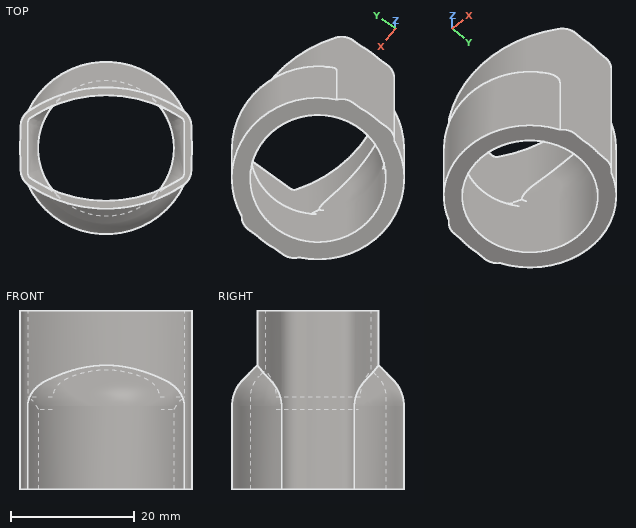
import cadquery as cq
import math

height = 29.0
side_wall = 1.3
end_wall = 1.2
sleeve_half_width = 13.88
sleeve_half_depth = 9.85
side_arc_radius = 22.4
sleeve_corner_radius = 3.0

cavity_half_width = sleeve_half_width - end_wall
cavity_half_depth = sleeve_half_depth - side_wall
cavity_corner_radius = 1.0

roof_angle = math.radians(45)
body_radius = 14.0
body_corner_height = 16.0
body_shoulder_radius = 6.0

bore_radius = 11.0
bore_corner_height = 17.0
bore_shoulder_radius = 4.7

roof_end_radius = 5.0

ledge_bottom = 13.0
ledge_top = 15.0
funnel_start = 11.5
funnel_start_radius = 10.5


def oval_prism(half_width, half_depth, arc_radius, corner_radius, bottom, top):
    """Vertical prism with arcs toward +Y and -Y, flat ends toward +X and -X, and rounded corners."""
    end_half_depth = half_depth - arc_radius + math.sqrt(arc_radius**2 - half_width**2)
    return (
        cq.Workplane("XY")
        .workplane(offset=bottom)
        .moveTo(half_width, -end_half_depth)
        .lineTo(half_width, end_half_depth)
        .threePointArc((0, half_depth), (-half_width, end_half_depth))
        .lineTo(-half_width, -end_half_depth)
        .threePointArc((0, -half_depth), (half_width, -end_half_depth))
        .close()
        .extrude(top - bottom)
        .edges("|Z")
        .fillet(corner_radius)
    )


def cavity_prism(bottom, top):
    return oval_prism(
        cavity_half_width, cavity_half_depth, side_arc_radius, cavity_corner_radius, bottom, top
    )


def roofed_cylinder(radius, corner_height, shoulder_radius):
    """Cylinder on Z = 0 under a cut-off cone; the shoulder arc is tangent to both."""
    shoulder_bottom = corner_height - shoulder_radius * math.tan(roof_angle / 2)
    shoulder_center = radius - shoulder_radius
    roof_end_height = corner_height + (radius - roof_end_radius) * math.tan(roof_angle)

    def shoulder_point(angle):
        return (
            shoulder_center + shoulder_radius * math.cos(angle),
            shoulder_bottom + shoulder_radius * math.sin(angle),
        )

    return (
        cq.Workplane("XZ")
        .lineTo(radius, 0)
        .lineTo(radius, shoulder_bottom)
        .threePointArc(shoulder_point(roof_angle / 2), shoulder_point(roof_angle))
        .lineTo(roof_end_radius, roof_end_height)
        .lineTo(0, roof_end_height)
        .close()
        .revolve(360, (0, 0, 0), (0, 1, 0))
    )


def end_bulges():
    """Shallow full-height bulges where the body cylinder stands proud of the flat sleeve ends."""
    bulge_width = 2 * math.sqrt(body_radius**2 - sleeve_half_width**2)
    strip = cq.Workplane("XY").rect(2 * body_radius, bulge_width).extrude(height)
    return cq.Workplane("XY").circle(body_radius).extrude(height).intersect(strip)


def ledge_cut():
    """Smooth funnel that leaves the bore steeply and flares out to the oval cavity section."""
    up = cq.Vector(0, 0, 1)
    start_circle = cq.Wire.makeCircle(funnel_start_radius, up * funnel_start, up)
    bore_circle = cq.Wire.makeCircle(bore_radius, up * ledge_bottom, up)
    cavity_outline = cavity_prism(ledge_top, height).faces("<Z").wires().val()
    return cq.Workplane(cq.Solid.makeLoft([start_circle, bore_circle, cavity_outline], ruled=False))


outside = (
    oval_prism(
        sleeve_half_width, sleeve_half_depth, side_arc_radius, sleeve_corner_radius, 0, height
    )
    .union(roofed_cylinder(body_radius, body_corner_height, body_shoulder_radius))
    .union(end_bulges())
)

result = (
    outside.cut(cavity_prism(ledge_top, height))
    .cut(ledge_cut())
    .cut(roofed_cylinder(bore_radius, bore_corner_height, bore_shoulder_radius))
)